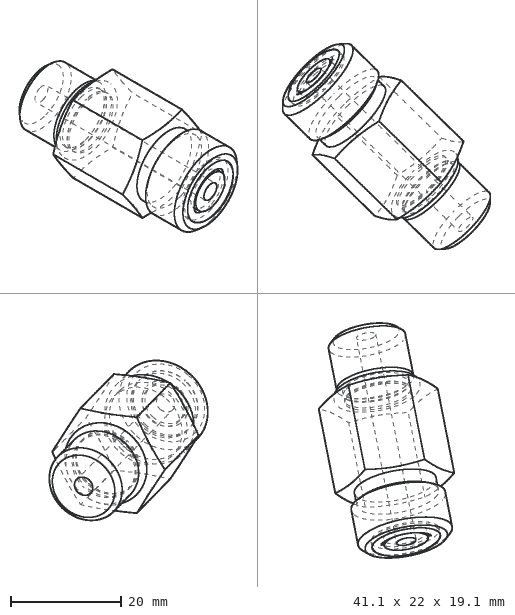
import cadquery as cq
import math


across_flats = 19.05
across_corners = across_flats / math.cos(math.radians(30))
hex_start = 11.9
hex_end = 29.5
hex_chamfer_length = 0.45

stud_diameter = 14.25
stud_neck_diameter = 12.3
stud_end_chamfer = 1.03
stud_thread_end = 9.2

face_thread_diameter = 17.45
face_neck_diameter = 15.12
face_thread_start = 32.6
face_end_chamfer = 1.1
face_end = 40.6

runout_slope = math.tan(math.radians(30))
stud_runout = (stud_diameter - stud_neck_diameter) / 2 * runout_slope
face_runout = (face_thread_diameter - face_neck_diameter) / 2 * runout_slope

bore_diameter = 3.58

stud_ring_section = 1.97
stud_ring_outer_diameter = 15.9
stud_ring_x = hex_start - stud_ring_section / 2

overall_length = 41.1
face_ring_section = 1.75
face_groove_outer_diameter = 12.65
face_groove_inner_diameter = 8.1
face_ring_x = overall_length - face_ring_section / 2
face_groove_depth = face_end - (overall_length - face_ring_section)


def cylinder(diameter, start, end):
    """Round bar on the X axis between two X positions."""
    return cq.Workplane("YZ", origin=(start, 0, 0)).circle(diameter / 2).extrude(end - start)


def seal_ring(outer_diameter, section, center_x):
    """Round-section ring around the X axis."""
    center_radius = (outer_diameter - section) / 2
    return (
        cq.Workplane("XY")
        .center(center_x, center_radius)
        .circle(section / 2)
        .revolve(360, (0, -center_radius, 0), (1, -center_radius, 0))
    )


def hexagon():
    """Hexagon with corners on +Y and -Y, chamfered by a cone at both ends."""
    prism = (
        cq.Workplane("YZ", origin=(hex_start, 0, 0))
        .polygon(6, across_corners)
        .extrude(hex_end - hex_start)
    )
    flat_radius = across_flats / 2
    corner_radius = across_corners / 2
    chamfer_envelope = (
        cq.Workplane("XY")
        .moveTo(hex_start, 0)
        .lineTo(hex_start, flat_radius)
        .lineTo(hex_start + hex_chamfer_length, corner_radius)
        .lineTo(hex_end - hex_chamfer_length, corner_radius)
        .lineTo(hex_end, flat_radius)
        .lineTo(hex_end, 0)
        .close()
        .revolve(360, (0, 0, 0), (1, 0, 0))
    )
    return prism.intersect(chamfer_envelope)


def stud():
    """Stud with chamfered end, sloped run-out and neck up to the hexagon."""
    radius = stud_diameter / 2
    neck_radius = stud_neck_diameter / 2
    return (
        cq.Workplane("XY")
        .moveTo(0, 0)
        .lineTo(0, radius - stud_end_chamfer)
        .lineTo(stud_end_chamfer, radius)
        .lineTo(stud_thread_end, radius)
        .lineTo(stud_thread_end + stud_runout, neck_radius)
        .lineTo(hex_start, neck_radius)
        .lineTo(hex_start, 0)
        .close()
        .revolve(360, (0, 0, 0), (1, 0, 0))
    )


def face_seal_end():
    """Neck behind the hexagon, sloped run-out and chamfered thread end."""
    radius = face_thread_diameter / 2
    neck_radius = face_neck_diameter / 2
    return (
        cq.Workplane("XY")
        .moveTo(hex_end, 0)
        .lineTo(hex_end, neck_radius)
        .lineTo(face_thread_start - face_runout, neck_radius)
        .lineTo(face_thread_start, radius)
        .lineTo(face_end - face_end_chamfer, radius)
        .lineTo(face_end, radius - face_end_chamfer)
        .lineTo(face_end, 0)
        .close()
        .revolve(360, (0, 0, 0), (1, 0, 0))
    )


def face_groove():
    """Annular groove in the right end face that holds the face seal ring."""
    groove_floor = face_end - face_groove_depth
    outer = cylinder(face_groove_outer_diameter, groove_floor, face_end)
    inner = cylinder(face_groove_inner_diameter, groove_floor, face_end)
    return outer.cut(inner)


stud_ring = seal_ring(stud_ring_outer_diameter, stud_ring_section, stud_ring_x)
face_ring = seal_ring(face_groove_outer_diameter, face_ring_section, face_ring_x)

housing = (
    hexagon()
    .union(stud())
    .union(face_seal_end())
    .cut(cylinder(bore_diameter, 0, face_end))
    .cut(face_groove())
    .cut(stud_ring)
)

result = cq.Compound.makeCompound([housing.solids().val(), stud_ring.val(), face_ring.val()])